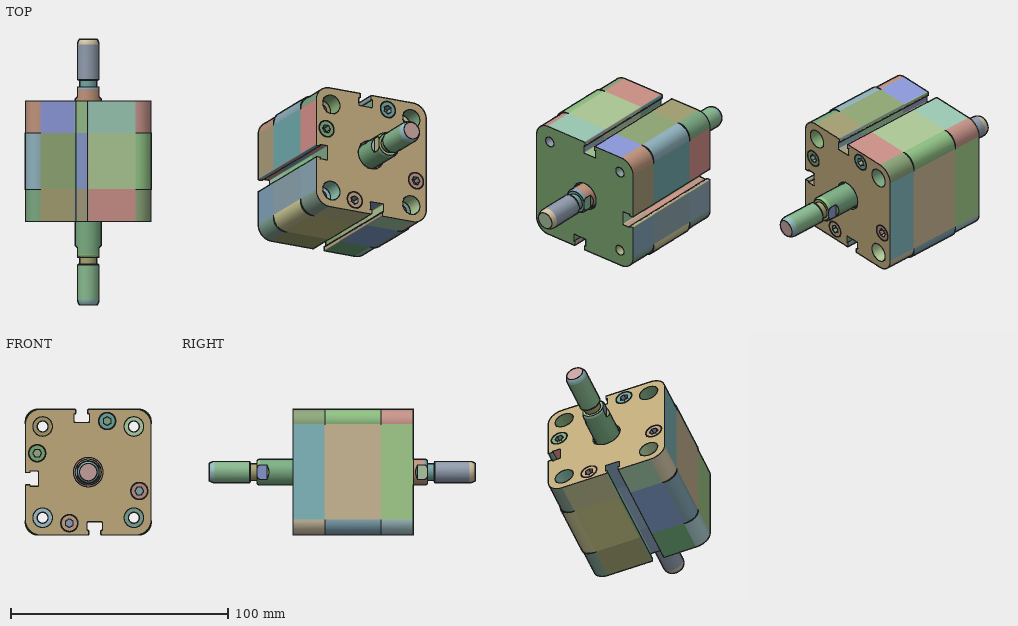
import cadquery as cq
import math


BODY_WIDTH = 57.9
BODY_LENGTH = 55.5
CAP_LENGTH = 14.8
CORNER_SIZE = 7.0
TUBE_CORNER_BULGE = 0.1

SLOT_OFFSET = 3.0
SLOT_MOUTH_WIDTH = 5.5
SLOT_MOUTH_DEPTH = 2.2
SLOT_LIP_RADIUS = 0.4
SLOT_POCKET_WIDTH = 7.0
SLOT_DEPTH = 6.0
SLOT_POCKET_FILLET = 0.4
SLOT_ANGLES = (0, 90, 180)

MOUNT_SPACING = 42.0
MOUNT_HOLE_DIAMETER = 4.92
MOUNT_COUNTERBORE_DIAMETER = 9.0
MOUNT_COUNTERBORE_DEPTH = 9.0

SCREW_X = 8.7
SCREW_Z = 23.5
SCREW_COUNT = 4
SCREW_HEAD_DIAMETER = 7.5
SCREW_POCKET_DIAMETER = 8.0
SCREW_HEAD_HEIGHT = 4.0
SCREW_HEX_SIZE = 3.5
SCREW_HEX_DEPTH = 4.0

ROD_DIAMETER = 12.0
ROD_CLEARANCE_DIAMETER = 13.6
ROD_CLEARANCE_DEPTH = 2.0
FRONT_ROD_LENGTH = 16.5
REAR_ROD_LENGTH = 6.5
SHOULDER_DIAMETER = 10.5
SHOULDER_ROUND_LENGTH = 1.4
NECK_DIAMETER = 7.9
NECK_LENGTH = 3.0
THREAD_DIAMETER = 10.0
THREAD_LENGTH = 19.0
THREAD_RUNOUT_DIAMETER = 8.57
THREAD_RUNOUT_ANGLE = 30.0
THREAD_TIP_DIAMETER = 8.0
THREAD_TIP_LENGTH = 2.6
FLAT_WIDTH = 10.0
FLAT_LENGTH = 4.5

HALF_WIDTH = BODY_WIDTH / 2
FRONT_Y = -BODY_LENGTH / 2
REAR_Y = BODY_LENGTH / 2


def workplane_at(y):
    """XZ sketch plane at the given Y, with X and Z as sketch axes; extrudes toward -Y."""
    return cq.Workplane("XZ", origin=(0, y, 0))


def make_cap(start_y):
    cap = workplane_at(start_y + CAP_LENGTH).rect(BODY_WIDTH, BODY_WIDTH).extrude(CAP_LENGTH)
    return cap.edges("|Y").fillet(CORNER_SIZE)


def make_tube():
    """Middle section: same flats as the caps, with fuller corners of a smaller radius."""
    length = BODY_LENGTH - 2 * CAP_LENGTH
    flat_end = HALF_WIDTH - CORNER_SIZE
    bulge = TUBE_CORNER_BULGE
    shift = math.sqrt(bulge**2 + bulge * 2 * CORNER_SIZE) - bulge
    arc_center = flat_end + shift
    arc_radius = HALF_WIDTH + bulge - arc_center
    arc_middle = arc_center + arc_radius * math.sqrt(0.5)
    outline = (
        workplane_at(length / 2)
        .moveTo(-flat_end, HALF_WIDTH)
        .lineTo(flat_end, HALF_WIDTH)
        .threePointArc((arc_middle, arc_middle), (HALF_WIDTH, flat_end))
        .lineTo(HALF_WIDTH, -flat_end)
        .threePointArc((arc_middle, -arc_middle), (flat_end, -HALF_WIDTH))
        .lineTo(-flat_end, -HALF_WIDTH)
        .threePointArc((-arc_middle, -arc_middle), (-HALF_WIDTH, -flat_end))
        .lineTo(-HALF_WIDTH, flat_end)
        .threePointArc((-arc_middle, arc_middle), (-flat_end, HALF_WIDTH))
        .close()
    )
    return outline.extrude(length)


def make_slot():
    """Cutter for the T-slot in the top side, running the whole body length."""
    mouth = SLOT_MOUTH_WIDTH / 2
    flare = mouth + SLOT_LIP_RADIUS
    wall_top = -SLOT_LIP_RADIUS
    wall_bottom = SLOT_LIP_RADIUS - SLOT_MOUTH_DEPTH
    arc_rise = SLOT_LIP_RADIUS * math.sqrt(0.5)
    arc_x = flare - arc_rise
    arc_top = wall_top + arc_rise
    arc_bottom = wall_bottom - arc_rise
    pocket_depth = SLOT_DEPTH - SLOT_MOUTH_DEPTH
    pocket = (
        workplane_at(REAR_Y)
        .center(-SLOT_OFFSET, HALF_WIDTH - SLOT_MOUTH_DEPTH - pocket_depth / 2)
        .rect(SLOT_POCKET_WIDTH, pocket_depth)
        .extrude(BODY_LENGTH)
        .edges("|Y and <Z")
        .fillet(SLOT_POCKET_FILLET)
    )
    opening = (
        workplane_at(REAR_Y)
        .center(-SLOT_OFFSET, HALF_WIDTH)
        .moveTo(-flare, 0)
        .threePointArc((-arc_x, arc_top), (-mouth, wall_top))
        .lineTo(-mouth, wall_bottom)
        .threePointArc((-arc_x, arc_bottom), (-flare, -SLOT_MOUTH_DEPTH))
        .lineTo(flare, -SLOT_MOUTH_DEPTH)
        .threePointArc((arc_x, arc_bottom), (mouth, wall_bottom))
        .lineTo(mouth, wall_top)
        .threePointArc((arc_x, arc_top), (flare, 0))
        .close()
        .extrude(BODY_LENGTH)
    )
    return pocket.union(opening)


def turn_about_rod(shape, angle):
    """Rotate about Y, from the top side toward the -X side."""
    return shape.rotate((0, 0, 0), (0, 1, 0), -angle)


def make_mount_holes():
    corners = workplane_at(REAR_Y).rect(MOUNT_SPACING, MOUNT_SPACING, forConstruction=True).vertices()
    holes = corners.circle(MOUNT_HOLE_DIAMETER / 2).extrude(BODY_LENGTH)
    seats = (
        workplane_at(FRONT_Y + MOUNT_COUNTERBORE_DEPTH)
        .rect(MOUNT_SPACING, MOUNT_SPACING, forConstruction=True)
        .vertices()
        .circle(MOUNT_COUNTERBORE_DIAMETER / 2)
        .extrude(MOUNT_COUNTERBORE_DEPTH)
    )
    return holes.union(seats)


def make_screw_recess():
    """Cutter for one cap screw: the gap around its head and its hexagon socket."""
    gap = (
        workplane_at(FRONT_Y + SCREW_HEAD_HEIGHT)
        .center(SCREW_X, SCREW_Z)
        .circle(SCREW_POCKET_DIAMETER / 2)
        .circle(SCREW_HEAD_DIAMETER / 2)
        .extrude(SCREW_HEAD_HEIGHT)
    )
    hex_corner_diameter = SCREW_HEX_SIZE / math.cos(math.radians(30))
    socket = (
        workplane_at(FRONT_Y + SCREW_HEX_DEPTH)
        .polygon(6, hex_corner_diameter)
        .extrude(SCREW_HEX_DEPTH)
        .rotate((0, 0, 0), (0, 1, 0), 30)
        .translate((SCREW_X, 0, SCREW_Z))
    )
    return gap.union(socket)


def point_on_round(start_radius, end_radius, length):
    """Halfway point (radius, distance) of an arc that tapers tangentially off a cylinder."""
    drop = start_radius - end_radius
    arc_radius = (length**2 + drop**2) / (2 * drop)
    half_angle = math.asin(length / arc_radius) / 2
    radius = start_radius - arc_radius * (1 - math.cos(half_angle))
    distance = arc_radius * math.sin(half_angle)
    return radius, distance


def make_rod_end(rod_length):
    """Rod end pointing along +Y from the body middle, with neck, thread and wrench flats."""
    rod = ROD_DIAMETER / 2
    shoulder = SHOULDER_DIAMETER / 2
    neck = NECK_DIAMETER / 2
    thread = THREAD_DIAMETER / 2
    runout = THREAD_RUNOUT_DIAMETER / 2
    tip = THREAD_TIP_DIAMETER / 2

    runout_length = (thread - runout) * math.tan(math.radians(THREAD_RUNOUT_ANGLE))
    shoulder_y = REAR_Y + rod_length
    shoulder_round_y = shoulder_y - SHOULDER_ROUND_LENGTH
    thread_y = shoulder_y + NECK_LENGTH
    tip_y = thread_y + THREAD_LENGTH
    tip_round_y = tip_y - THREAD_TIP_LENGTH
    shoulder_mid_radius, shoulder_mid_y = point_on_round(rod, shoulder, SHOULDER_ROUND_LENGTH)
    tip_mid_radius, tip_mid_y = point_on_round(thread, tip, THREAD_TIP_LENGTH)

    turned = (
        cq.Workplane("XY")
        .lineTo(rod, 0)
        .lineTo(rod, shoulder_round_y)
        .threePointArc((shoulder_mid_radius, shoulder_round_y + shoulder_mid_y), (shoulder, shoulder_y))
        .lineTo(neck, shoulder_y)
        .lineTo(neck, thread_y)
        .lineTo(runout, thread_y)
        .lineTo(thread, thread_y + runout_length)
        .lineTo(thread, tip_round_y)
        .threePointArc((tip_mid_radius, tip_round_y + tip_mid_y), (tip, tip_y))
        .lineTo(0, tip_y)
        .close()
        .revolve(360, (0, 0, 0), (0, 1, 0))
    )

    flat = FLAT_WIDTH / 2
    run_in = rod - flat
    flat_y = shoulder_y - FLAT_LENGTH
    flat_cut = (
        cq.Workplane("XY")
        .moveTo(flat, shoulder_y)
        .lineTo(flat, flat_y)
        .lineTo(rod, flat_y - run_in)
        .lineTo(rod, shoulder_y)
        .close()
        .extrude(rod, both=True)
    )
    return turned.cut(flat_cut).cut(flat_cut.mirror("YZ"))


def cut_slots(section):
    slot = make_slot()
    for angle in SLOT_ANGLES:
        section = section.cut(turn_about_rod(slot, angle))
    return section


def make_body():
    body = cut_slots(make_tube())
    for cap_start in (FRONT_Y, REAR_Y - CAP_LENGTH):
        body = body.union(cut_slots(make_cap(cap_start)), clean=False)
    body = body.cut(make_mount_holes(), clean=False)
    screw = make_screw_recess()
    for index in range(SCREW_COUNT):
        body = body.cut(turn_about_rod(screw, index * 360 / SCREW_COUNT), clean=False)
    clearance = (
        workplane_at(FRONT_Y + ROD_CLEARANCE_DEPTH)
        .circle(ROD_CLEARANCE_DIAMETER / 2)
        .extrude(ROD_CLEARANCE_DEPTH)
    )
    return body.cut(clearance, clean=False).cut(clearance.mirror("XZ"), clean=False)


front_rod = make_rod_end(FRONT_ROD_LENGTH).mirror("XZ")
rear_rod = make_rod_end(REAR_ROD_LENGTH)
result = make_body().union(front_rod, clean=False).union(rear_rod, clean=False)